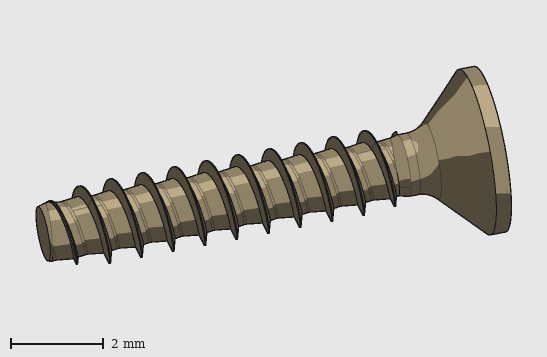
import math

import cadquery as cq

total_length = 10.0

head_radius = 3.65 / 2
rim_thickness = 0.34
head_cone_angle = math.radians(45)
neck_radius = 0.68
neck_fillet_radius = 0.6
neck_end_depth = 1.94

core_radius = 0.615
neck_taper_length = 0.27
tip_radius = 0.6
tip_cone_slope = 0.3
tip_dome_height = 0.01
tip_rim_depth = total_length - tip_dome_height

pitch = 0.71
crest_radius = 0.9
crest_half_width = 0.012
flank_slope = 0.31
head_side_root_radius = 0.635
tip_side_root_radius = 0.655
faded_crest_radius = 0.66
head_skirt_offset = 0.245
tip_skirt_offset = 0.455
skirt_radius = 0.612
buried_radius = 0.5
reference_crest_depth = 2.545
full_thread_start_depth = reference_crest_depth
full_thread_end_depth = 8.92
lead_in_length = 1.0
runout_length = 0.94
ridge_margin = 0.4
envelope_radius = 1.0
points_per_turn = 24


def tip_cone_depth(radius):
    """Depth at which the conical tip reaches the given radius."""
    return tip_rim_depth - (radius - tip_radius) / tip_cone_slope


def make_body():
    """Head, filleted neck, core and shallow domed tip as one revolved outline."""
    fillet_center_radius = neck_radius + neck_fillet_radius
    fillet_top_radius = fillet_center_radius - neck_fillet_radius * math.cos(head_cone_angle)
    cone_length = (head_radius - fillet_top_radius) / math.tan(head_cone_angle)
    fillet_top_depth = rim_thickness + cone_length
    fillet_end_depth = fillet_top_depth + neck_fillet_radius * math.sin(head_cone_angle)

    half_angle = head_cone_angle / 2
    fillet_middle = (
        fillet_center_radius - neck_fillet_radius * math.cos(half_angle),
        -fillet_end_depth + neck_fillet_radius * math.sin(half_angle),
    )
    outline = (
        cq.Workplane("XY")
        .moveTo(0, 0)
        .lineTo(head_radius, 0)
        .lineTo(head_radius, -rim_thickness)
        .lineTo(fillet_top_radius, -fillet_top_depth)
        .threePointArc(fillet_middle, (neck_radius, -fillet_end_depth))
        .lineTo(neck_radius, -neck_end_depth)
        .lineTo(core_radius, -(neck_end_depth + neck_taper_length))
        .lineTo(core_radius, -tip_cone_depth(core_radius))
        .lineTo(tip_radius, -tip_rim_depth)
        .threePointArc(
            (tip_radius / 2, -(total_length - tip_dome_height / 4)),
            (0, -total_length),
        )
        .close()
    )
    return outline.revolve(360, (0, 0, 0), (0, 1, 0))


def crest_radius_at(depth):
    """Crest radius: full in the middle, fading linearly at both ends."""
    lead_in = (full_thread_start_depth - depth) / lead_in_length
    runout = (depth - full_thread_end_depth) / runout_length
    fade = min(max(lead_in, runout, 0), 1)
    return crest_radius - fade * (crest_radius - faded_crest_radius)


def ridge_section(depth):
    """Ridge corners as (offset toward the head, radius) for a crest at this depth."""
    crest = crest_radius_at(depth)
    head_root = crest_half_width + flank_slope * (crest - head_side_root_radius)
    tip_root = crest_half_width + flank_slope * (crest - tip_side_root_radius)
    return [
        (head_skirt_offset, buried_radius),
        (head_skirt_offset, skirt_radius),
        (head_root, head_side_root_radius),
        (crest_half_width, crest),
        (-crest_half_width, crest),
        (-tip_root, tip_side_root_radius),
        (-tip_skirt_offset, skirt_radius),
        (-tip_skirt_offset, buried_radius),
    ]


def section_points(depth):
    """Ridge corners in space where the helical crest reaches this depth."""
    angle = 2 * math.pi * (reference_crest_depth - depth) / pitch
    return [
        cq.Vector(radius * math.sin(angle), offset - depth, radius * math.cos(angle))
        for offset, radius in ridge_section(depth)
    ]


def stretch_faces(start, end):
    """Helical side faces of the ridge between two crest depths."""
    steps = math.ceil((end - start) / pitch * points_per_turn)
    sections = [section_points(start + (end - start) * i / steps) for i in range(steps + 1)]
    edges = [cq.Edge.makeSpline(list(corner_path)) for corner_path in zip(*sections)]
    return [
        cq.Face.makeRuledSurface(edge, edges[(i + 1) % len(edges)])
        for i, edge in enumerate(edges)
    ]


def end_cap(depth):
    return cq.Face.makeFromWires(cq.Wire.makePolygon(section_points(depth), close=True))


def make_thread():
    """Helical ridge trimmed flat at the neck and conically at the tip."""
    lead_in_start = full_thread_start_depth - lead_in_length
    runout_end = full_thread_end_depth + runout_length
    stops = [
        lead_in_start - ridge_margin,
        lead_in_start,
        full_thread_start_depth,
        full_thread_end_depth,
        runout_end,
        runout_end + ridge_margin,
    ]
    faces = [end_cap(stops[0]), end_cap(stops[-1])]
    for start, end in zip(stops, stops[1:]):
        faces += stretch_faces(start, end)
    ridge = cq.Solid.makeSolid(cq.Shell.makeShell(faces))

    envelope = (
        cq.Workplane("XY")
        .moveTo(0, -neck_end_depth)
        .lineTo(envelope_radius, -neck_end_depth)
        .lineTo(envelope_radius, -tip_cone_depth(envelope_radius))
        .lineTo(tip_radius, -tip_rim_depth)
        .lineTo(0, -tip_rim_depth)
        .close()
        .revolve(360, (0, 0, 0), (0, 1, 0))
    )
    return cq.Workplane(ridge).intersect(envelope)


result = make_body().union(make_thread())